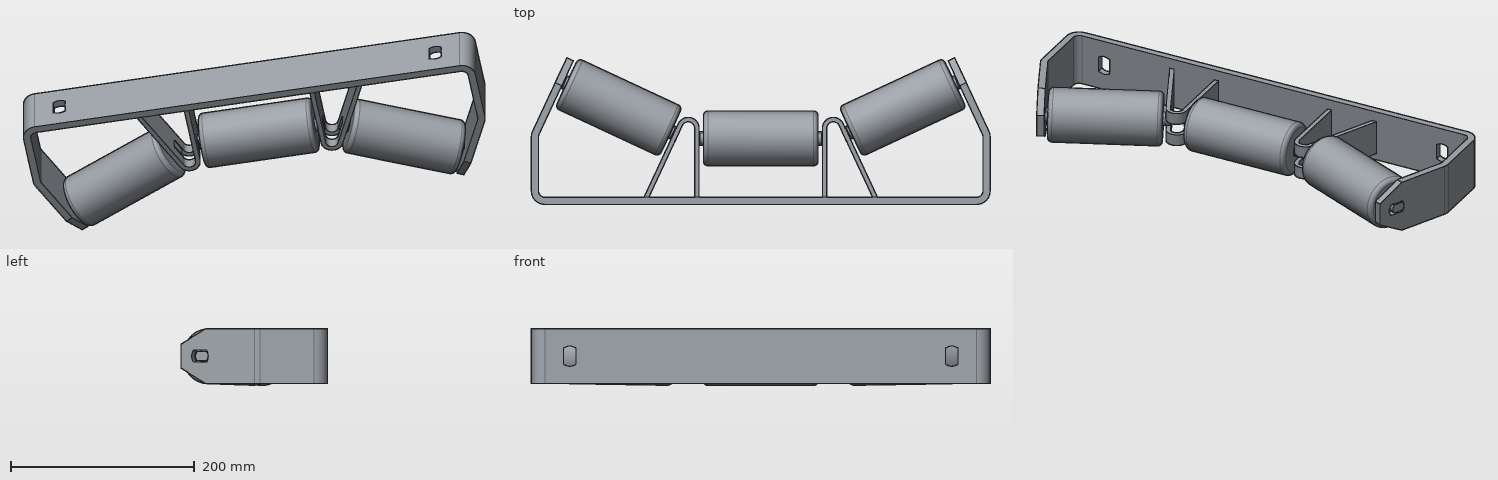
import cadquery as cq
import math


trough_angle = 25.0
trough_rad = math.radians(trough_angle)
cos_t = math.cos(trough_rad)
sin_t = math.sin(trough_rad)

frame_length = 500.0
frame_depth = 159.98
frame_width = 60.0
frame_thickness = 8.0
frame_bend_radius = 15.0
side_bend_start = 73.5
arm_tip_width = 26.0
arm_taper_length = 30.0
half_length = frame_length / 2
inner_bend_radius = frame_bend_radius - frame_thickness

mount_slot_offset = 208.0
mount_slot_length = 22.0
mount_slot_width = 13.5
mount_slot_end_radius = mount_slot_length / 2

roller_diameter = 60.0
roller_length = 125.0
roller_edge_radius = 5.0
roller_end_gap = 4.5
shaft_diameter = 15.0
shaft_flat_width = 10.0
shaft_shoulder_gap = 1.0
middle_axis_y = 72.0
bracket_axis_z = -2.0
support_span = roller_length + 2 * roller_end_gap

shaft_slot_length = 20.0
shaft_slot_width = 13.0
shaft_slot_end_radius = shaft_slot_length / 2
shaft_slot_clearance = 0.3
shaft_slot_shift = (shaft_slot_length - shaft_diameter) / 2 - shaft_slot_clearance

bracket_width = 40.0
bracket_thickness = 5.0
bracket_bend_radius = 12.0
bracket_bend_y = 83.0
bracket_bend_x = -support_span / 2 - bracket_bend_radius
bracket_inner_radius = bracket_bend_radius - bracket_thickness

arm_start_x = -half_length + frame_bend_radius * (1 - cos_t)
arm_start_y = side_bend_start + frame_bend_radius * sin_t
arm_length = (frame_depth - arm_start_y) / cos_t
arm_tip_x = arm_start_x + arm_length * sin_t

side_axis_height = 30.5
arm_inner_face = arm_start_x * cos_t - arm_start_y * sin_t + frame_thickness
leg_outer_face = bracket_bend_x * cos_t - bracket_bend_y * sin_t - bracket_bend_radius
side_support_span = leg_outer_face - arm_inner_face
side_roller_tilt = math.degrees(math.asin(-bracket_axis_z / side_support_span))
side_axis_centre = (arm_inner_face + leg_outer_face) / 2
side_roller_x = side_axis_centre * cos_t + side_axis_height * sin_t
side_roller_y = side_axis_height * cos_t - side_axis_centre * sin_t


def rounded_slot(plane, length, width, end_radius, depth):
    """Prism along the plane normal, centred on it: flat sides along local y, arched ends."""
    end = length / 2
    corner = end - end_radius + math.sqrt(end_radius**2 - (width / 2) ** 2)
    return (
        cq.Workplane(plane)
        .moveTo(width / 2, -corner)
        .lineTo(width / 2, corner)
        .threePointArc((0, end), (-width / 2, corner))
        .lineTo(-width / 2, -corner)
        .threePointArc((0, -end), (width / 2, -corner))
        .close()
        .extrude(depth / 2, both=True)
    )


def mirrored(body):
    return body.mirror("YZ")


def on_arc(centre, radius, degrees):
    angle = math.radians(degrees)
    return (centre[0] + radius * math.cos(angle), centre[1] + radius * math.sin(angle))


def place_left(body, axis_z):
    """Turn a body built along X at the origin to the left roller, at the given height."""
    return body.rotate((0, 0, 0), (0, 0, 1), -trough_angle).translate((side_roller_x, side_roller_y, axis_z))


def shaft_slot(span, thickness):
    """Slot cutters through both supports of a roller lying along X at the origin."""
    cutters = cq.Workplane()
    for side in (-1, 1):
        plane = cq.Plane(
            origin=(side * (span + thickness) / 2, shaft_slot_shift, 0), xDir=(0, 0, -1), normal=(1, 0, 0)
        )
        cutters = cutters.add(
            rounded_slot(plane, shaft_slot_length, shaft_slot_width, shaft_slot_end_radius, 2 * thickness)
        )
    return cutters.combine()


def make_frame():
    corner_centre = (-half_length + frame_bend_radius, frame_bend_radius)
    bend_centre = (-half_length + frame_bend_radius, side_bend_start)
    inner_wall_x = -half_length + frame_thickness
    corner_mid = 225
    half_bend = 180 - trough_angle / 2
    arm_end = 180 - trough_angle
    half_profile = (
        cq.Workplane("XY")
        .moveTo(0, 0)
        .lineTo(corner_centre[0], 0)
        .threePointArc(on_arc(corner_centre, frame_bend_radius, corner_mid), (-half_length, frame_bend_radius))
        .lineTo(-half_length, side_bend_start)
        .threePointArc(on_arc(bend_centre, frame_bend_radius, half_bend), (arm_start_x, arm_start_y))
        .lineTo(arm_tip_x, frame_depth)
        .lineTo(arm_tip_x + frame_thickness * cos_t, frame_depth - frame_thickness * sin_t)
        .lineTo(*on_arc(bend_centre, inner_bend_radius, arm_end))
        .threePointArc(on_arc(bend_centre, inner_bend_radius, half_bend), (inner_wall_x, side_bend_start))
        .lineTo(inner_wall_x, frame_bend_radius)
        .threePointArc(on_arc(corner_centre, inner_bend_radius, corner_mid), (corner_centre[0], frame_thickness))
        .lineTo(0, frame_thickness)
        .close()
    )
    half = half_profile.extrude(frame_width / 2, both=True)

    arm_plane = cq.Plane(
        origin=(arm_tip_x, frame_depth, 0), xDir=(sin_t, cos_t, 0), normal=(cos_t, -sin_t, 0)
    )
    for edge in (-1, 1):
        taper = (
            cq.Workplane(arm_plane)
            .polyline(
                [
                    (-arm_taper_length, edge * frame_width / 2),
                    (0, edge * frame_width / 2),
                    (0, edge * arm_tip_width / 2),
                ]
            )
            .close()
            .extrude(frame_thickness)
        )
        half = half.cut(taper)

    half = half.cut(place_left(shaft_slot(side_support_span, frame_thickness), 0))

    mount_plane = cq.Plane(origin=(-mount_slot_offset, 0, 0), xDir=(1, 0, 0), normal=(0, -1, 0))
    half = half.cut(
        rounded_slot(
            mount_plane, mount_slot_length, mount_slot_width, mount_slot_end_radius, 3 * frame_thickness
        )
    )
    return half.union(mirrored(half))


def bend_slot():
    """Cutter that joins the two shaft slots of the left bracket round its bend."""
    straight_axis = cq.Vector(-support_span / 2, middle_axis_y)
    slant_axis = cq.Vector(
        leg_outer_face * cos_t + side_axis_height * sin_t,
        side_axis_height * cos_t - leg_outer_face * sin_t,
    )
    through_straight = cq.Vector(-bracket_thickness, 0)
    through_slant = cq.Vector(cos_t, -sin_t) * bracket_thickness
    rise = 2 * bracket_bend_radius
    corners = [
        straight_axis + through_straight,
        straight_axis,
        straight_axis + cq.Vector(0, rise),
        slant_axis + cq.Vector(sin_t, cos_t) * rise,
        slant_axis,
        slant_axis + through_slant,
    ]
    cutter = cq.Workplane("XY").polyline([corner.toTuple()[:2] for corner in corners]).close()
    return cutter.extrude(shaft_slot_width / 2, both=True).translate((0, 0, bracket_axis_z))


def make_bracket():
    """Left bracket: slanted leg, bend and straight leg, standing on the back plate."""
    centre = (bracket_bend_x, bracket_bend_y)
    slant_angle = 180 - trough_angle
    top_angle = slant_angle / 2
    foot_y = frame_thickness

    def slant_foot(radius):
        start = on_arc(centre, radius, slant_angle)
        return (start[0] - (start[1] - foot_y) * math.tan(trough_rad), foot_y)

    outer_r = bracket_bend_radius
    inner_r = bracket_inner_radius
    profile = (
        cq.Workplane("XY")
        .moveTo(*slant_foot(outer_r))
        .lineTo(*on_arc(centre, outer_r, slant_angle))
        .threePointArc(on_arc(centre, outer_r, top_angle), on_arc(centre, outer_r, 0))
        .lineTo(bracket_bend_x + outer_r, foot_y)
        .lineTo(bracket_bend_x + inner_r, foot_y)
        .lineTo(*on_arc(centre, inner_r, 0))
        .threePointArc(on_arc(centre, inner_r, top_angle), on_arc(centre, inner_r, slant_angle))
        .lineTo(*slant_foot(inner_r))
        .close()
    )
    bracket = profile.extrude(bracket_width / 2, both=True).translate((0, 0, bracket_axis_z))
    middle_slots = shaft_slot(support_span, bracket_thickness)
    bracket = bracket.cut(middle_slots.translate((0, middle_axis_y, bracket_axis_z)))
    bracket = bracket.cut(place_left(shaft_slot(side_support_span, bracket_thickness), bracket_axis_z))
    return bracket.cut(bend_slot())


def make_roller(span, left_support, right_support):
    """Roller along X at the origin, with flatted shaft ends flush with the far support faces."""
    shell = (
        cq.Workplane("YZ")
        .workplane(offset=-roller_length / 2)
        .circle(roller_diameter / 2)
        .extrude(roller_length)
        .edges()
        .fillet(roller_edge_radius)
    )
    shaft = cq.Workplane("YZ").circle(shaft_diameter / 2).extrude(span / 2 - shaft_shoulder_gap, both=True)
    end_x = (-span / 2 - left_support, span / 2 + right_support)
    flat_plane = cq.Plane(origin=(sum(end_x) / 2, 0, 0), xDir=(0, 0, -1), normal=(1, 0, 0))
    flats = rounded_slot(
        flat_plane, shaft_diameter, shaft_flat_width, shaft_diameter / 2, end_x[1] - end_x[0]
    )
    return shell.union(shaft).union(flats)


frame = make_frame()
left_bracket = make_bracket()
brackets = [left_bracket, mirrored(left_bracket)]
middle_roller = make_roller(support_span, bracket_thickness, bracket_thickness)
middle_roller = middle_roller.translate((0, middle_axis_y, bracket_axis_z))
left_roller = make_roller(side_support_span, frame_thickness, bracket_thickness)
left_roller = left_roller.rotate((0, 0, 0), (0, 1, 0), side_roller_tilt)
left_roller = place_left(left_roller, bracket_axis_z / 2)
rollers = [left_roller, middle_roller, mirrored(left_roller)]

result = cq.Compound.makeCompound([body.val() for body in [frame, *brackets, *rollers]])